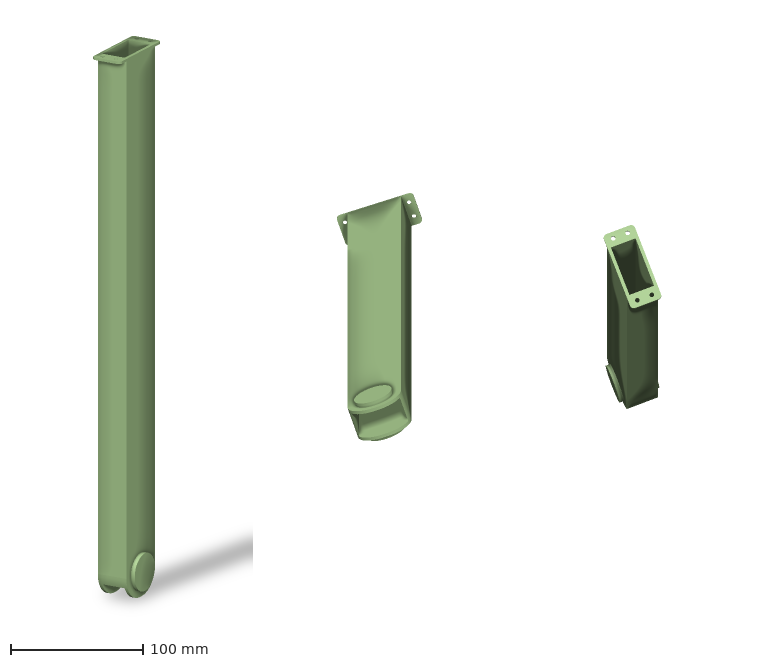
import cadquery as cq

height = 433.0
overall_width = 32.0

tube_width = 25.0
tube_depth = 43.0
side_wall = 2.5
end_wall = 1.85
end_radius = 20.0

flange_depth = 61.0
flange_thickness = 2.0
flange_corner_radius = 3.0
hole_diameter = 3.5
hole_spacing_x = 11.5
hole_spacing_y = 51.0

pad_diameter = 30.0
pad_thickness = (overall_width - tube_width) / 2


def make_tube_body():
    """Solid outer body of the tube, from its rounded end up to the flange."""
    return (
        cq.Workplane("XY")
        .rect(tube_width, tube_depth)
        .extrude(height - flange_thickness)
        .edges("|X and <Z")
        .fillet(end_radius)
    )


def make_flange():
    """Rounded plate with a screw hole near each corner."""
    return (
        cq.Workplane("XY", origin=(0, 0, height - flange_thickness))
        .rect(tube_width, flange_depth)
        .extrude(flange_thickness)
        .edges("|Z")
        .fillet(flange_corner_radius)
        .faces(">Z")
        .workplane()
        .rect(hole_spacing_x, hole_spacing_y, forConstruction=True)
        .vertices()
        .hole(hole_diameter)
    )


def make_pad(side):
    """Disc on the cheek at the given side of X (+1 or -1)."""
    return (
        cq.Workplane("YZ", origin=(side * tube_width / 2, 0, end_radius))
        .circle(pad_diameter / 2)
        .extrude(side * pad_thickness)
    )


def make_bore():
    """Straight rectangular bore, breaking out through the rounded lower corners."""
    return (
        cq.Workplane("XY")
        .rect(tube_width - 2 * side_wall, tube_depth - 2 * end_wall)
        .extrude(height)
    )


result = make_tube_body().union(make_flange()).cut(make_bore())
for side in (-1, 1):
    result = result.union(make_pad(side))